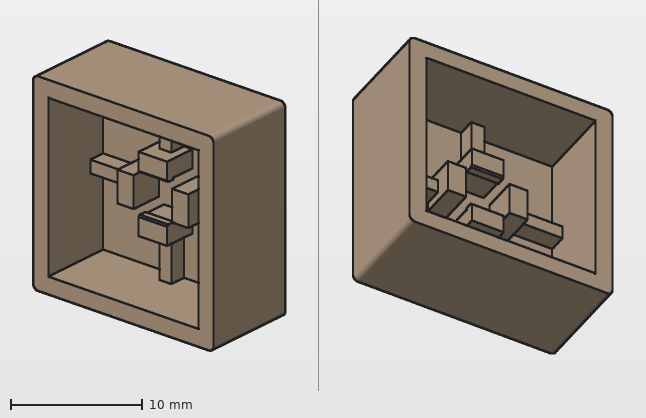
import cadquery as cq

side = 18.0
depth = 8.5
corner_radius = 0.5
wall = 1.51
base_thickness = 2.0

post_width = 2.83
post_inner = 1.93
post_outer = 3.53
post_height = 3.0
rib_width = 1.15
rib_height = 1.51

lip_reach = 0.15
lip_length = 0.8

cavity_side = side - 2 * wall
base_y = depth / 2 - base_thickness
cavity_depth = depth - base_thickness


def block_on_base(inner, outer, width, height):
    """Block standing on the base, above the part's Y axis."""
    return cq.Workplane("XY").box(width, height, outer - inner).translate(
        (0, base_y - height / 2, (inner + outer) / 2)
    )


def snap_lip():
    """Lip on the inner side of a post, sloping from the post tip to its full reach."""
    tip_y = base_y - post_height
    profile = [
        (tip_y, post_inner),
        (tip_y + lip_reach, post_inner - lip_reach),
        (tip_y + lip_length, post_inner - lip_reach),
        (tip_y + lip_length, post_inner),
    ]
    return cq.Workplane("YZ").polyline(profile).close().extrude(post_width / 2, both=True)


def arm(has_lip):
    """Post and rib in the +Z direction, with a snap lip if wanted."""
    post = block_on_base(post_inner, post_outer, post_width, post_height)
    rib = block_on_base(post_outer, cavity_side / 2, rib_width, rib_height)
    post_and_rib = post.union(rib)
    return post_and_rib.union(snap_lip()) if has_lip else post_and_rib


shell = cq.Workplane("XY").box(side, depth, side).edges("|Y").fillet(corner_radius)
cavity = cq.Workplane("XY").box(cavity_side, cavity_depth, cavity_side)
result = shell.cut(cavity.translate((0, -base_thickness / 2, 0)))

for quarter_turn in range(4):
    is_vertical = quarter_turn % 2 == 0
    turned_arm = arm(is_vertical).rotate((0, 0, 0), (0, 1, 0), 90 * quarter_turn)
    result = result.union(turned_arm)